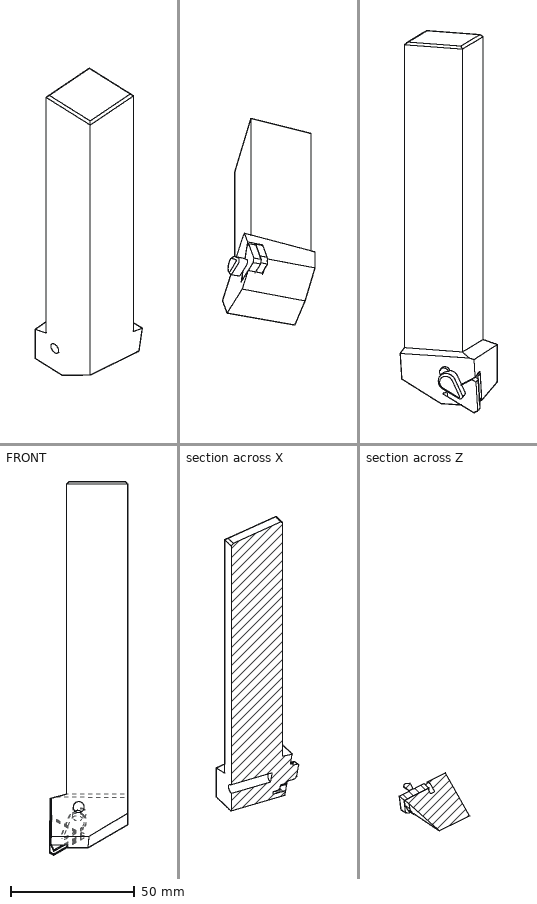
import cadquery as cq
import math

shank_size = 25.0
shank_depth = 25.4
shank_chamfer = 1.0
shoulder_z = -126.8

head_left = -6.1
head_front_bottom_z = -144.0
head_corner_x = 9.2
relief_angle = 31.0
shoulder_angle = 15.0
rake_angle = 10.0
side_angle = 1.0
head_reach = 40.0

insert_corner = (-6.82, 25.65, -152.61)
insert_edge = 16.5
insert_thickness = 3.2
insert_corner_cut = 1.9

shim_thickness = 3.2
shim_lift = 1.2
shim_inset = 0.2
shim_tip_side_cut = 4.2
shim_tip_lower_cut = 1.6
pocket_edge = 16.8
pocket_overhang = 3.0

boss_radius = 3.75
boss_across = -11.2
boss_up = 15.2
nose_radius = 1.2
nose_across = -6.1
nose_up = 9.4
clamp_height = 4.46
clamp_rim_chamfer = 0.9
tail_radius = 2.0
tail_across = -12.9
tail_up = 18.4
tail_height = 1.5

screw_hole_diameter = 4.4
screw_hole_x = 5.0
screw_hole_z = -132.1
screw_hole_depth = 20.0

rake = math.radians(rake_angle)
side = math.radians(side_angle)
shoulder_slope = math.tan(math.radians(shoulder_angle))
relief_slope = math.tan(math.radians(relief_angle))

rear_normal = cq.Vector(
    -math.sin(side) * math.cos(rake),
    math.cos(side) * math.cos(rake),
    -math.sin(rake),
)
rear_plane = cq.Plane(
    origin=insert_corner,
    xDir=(-math.cos(side), -math.sin(side), 0),
    normal=rear_normal.toTuple(),
)


def on_rear_face(offset=0.0):
    """Workplane parallel to the rear face, moved outwards by offset."""
    return cq.Workplane(rear_plane).workplane(offset=offset)


def triangle_plate(top_offset, thickness, edge, shift=(0, 0), corner_cuts=None):
    """Equilateral plate with one upright side.

    corner_cuts holds a pair for the tip, top and inner corners in turn: the lengths taken off
    the edge that arrives at the corner and the edge that leaves it.
    """
    corners = [
        cq.Vector(0, 0),
        cq.Vector(0, edge),
        cq.Vector(-edge * math.sin(math.radians(60)), edge / 2),
    ]
    points = corners
    if corner_cuts:
        points = []
        for i, (arriving_cut, leaving_cut) in enumerate(corner_cuts):
            corner = corners[i]
            before = corners[i - 1]
            after = corners[(i + 1) % len(corners)]
            points.append(corner + (before - corner) * (arriving_cut / edge))
            points.append(corner + (after - corner) * (leaving_cut / edge))
    outline = [(point.x + shift[0], point.y + shift[1]) for point in points]
    return on_rear_face(top_offset - thickness).polyline(outline).close().extrude(thickness)


def make_shank():
    return (
        cq.Workplane("XY")
        .workplane(offset=shoulder_z)
        .rect(shank_size, shank_depth, centered=False)
        .extrude(-shoulder_z)
        .faces(">Z")
        .chamfer(shank_chamfer)
    )


def make_head():
    right = shank_size + head_reach
    outline = [
        (head_left, shoulder_z),
        (head_left, head_front_bottom_z),
        (head_corner_x, head_front_bottom_z),
        (right, head_front_bottom_z + (right - head_corner_x) * relief_slope),
        (right, shoulder_z + head_reach),
        (head_left, shoulder_z + head_reach),
    ]
    drift = rear_normal * (head_reach / rear_normal.y)
    front_wire = cq.Wire.makePolygon([cq.Vector(x, 0, z) for x, z in outline], close=True)
    rear_wire = front_wire.moved(cq.Location(drift))
    head = cq.Workplane(cq.Solid.makeLoft([front_wire, rear_wire], True))

    drop = head_reach * shoulder_slope
    floor_z = shoulder_z - head_reach
    side_roof = (
        cq.Workplane("XZ")
        .moveTo(shank_size, shoulder_z)
        .lineTo(0, shoulder_z)
        .lineTo(-head_reach, shoulder_z - drop)
        .lineTo(-head_reach, floor_z)
        .lineTo(shank_size, floor_z)
        .close()
        .extrude(-head_reach)
    )
    rear_roof = (
        cq.Workplane("YZ")
        .workplane(offset=-head_reach)
        .moveTo(0, shoulder_z)
        .lineTo(shank_depth, shoulder_z)
        .lineTo(shank_depth + head_reach, shoulder_z - drop)
        .lineTo(shank_depth + head_reach, floor_z)
        .lineTo(0, floor_z)
        .close()
        .extrude(2 * head_reach)
    )
    beyond_rear_face = on_rear_face().rect(4 * head_reach, 4 * head_reach).extrude(head_reach)
    return head.intersect(side_roof).intersect(rear_roof).cut(beyond_rear_face)


def make_pocket():
    depth = insert_thickness + shim_thickness
    seat = triangle_plate(0, depth, pocket_edge)
    opening = (
        on_rear_face(-depth)
        .rect(pocket_overhang, pocket_edge, centered=False)
        .extrude(depth)
    )
    return seat.union(opening)


def make_shim():
    plain_cut = (insert_corner_cut, insert_corner_cut)
    tip_cut = (shim_tip_lower_cut, shim_tip_side_cut)
    return triangle_plate(
        -insert_thickness,
        shim_thickness,
        insert_edge,
        shift=(-shim_inset, shim_lift),
        corner_cuts=(tip_cut, plain_cut, plain_cut),
    )


def make_clamp():
    run = nose_across - boss_across
    rise = nose_up - boss_up
    heading = math.atan2(rise, run)
    spread = math.acos((boss_radius - nose_radius) / math.hypot(run, rise))

    def boss_point(angle):
        return (boss_across + boss_radius * math.cos(angle), boss_up + boss_radius * math.sin(angle))

    def nose_point(angle):
        return (nose_across + nose_radius * math.cos(angle), nose_up + nose_radius * math.sin(angle))

    arm = (
        on_rear_face()
        .moveTo(*boss_point(heading + spread))
        .threePointArc(boss_point(heading + math.pi), boss_point(heading - spread))
        .lineTo(*nose_point(heading - spread))
        .threePointArc(nose_point(heading), nose_point(heading + spread))
        .close()
        .extrude(clamp_height)
        .faces(cq.selectors.DirectionMinMaxSelector(rear_normal))
        .chamfer(clamp_rim_chamfer)
    )
    tail = on_rear_face().center(tail_across, tail_up).circle(tail_radius).extrude(tail_height)
    return arm.union(tail)


def make_screw_hole():
    axis_plane = cq.Plane(
        origin=(screw_hole_x, 0, screw_hole_z),
        xDir=rear_plane.xDir,
        normal=rear_normal,
    )
    return (
        cq.Workplane(axis_plane)
        .workplane(offset=-screw_hole_diameter)
        .circle(screw_hole_diameter / 2)
        .extrude(screw_hole_depth + screw_hole_diameter)
    )


def make_insert():
    corner_cut = (insert_corner_cut, insert_corner_cut)
    return triangle_plate(0, insert_thickness, insert_edge, corner_cuts=[corner_cut] * 3)


holder = (
    make_shank()
    .union(make_head())
    .cut(make_pocket())
    .cut(make_screw_hole())
    .union(make_shim())
    .union(make_clamp())
)
insert = make_insert()

result = cq.Compound.makeCompound([holder.val(), insert.val()])